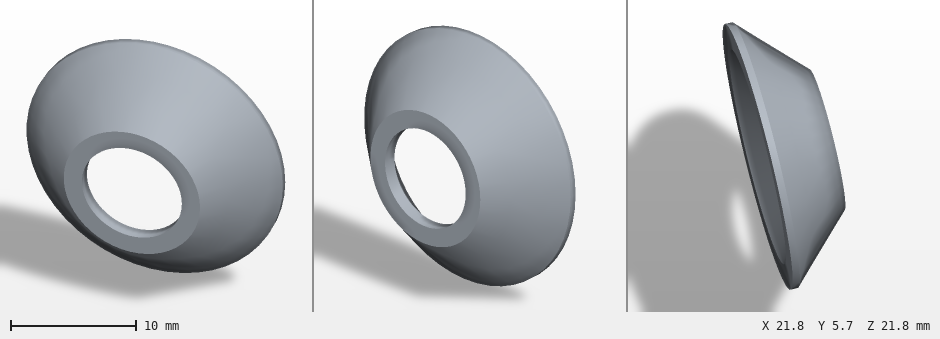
import cadquery as cq

outer_radius = 10.9
bore_radius = 4.25
height = 5.7
rim_thickness = 0.59
bore_length = 1.13
nose_radius = outer_radius - (height - rim_thickness)

back_y = height / 2
front_y = -height / 2

cavity_depth = height - bore_length
cavity_radius = bore_radius + cavity_depth

half_section = [
    (bore_radius, front_y),
    (nose_radius, front_y),
    (outer_radius, back_y - rim_thickness),
    (outer_radius, back_y),
    (cavity_radius, back_y),
    (bore_radius, front_y + bore_length),
]

result = (
    cq.Workplane("XY")
    .polyline(half_section)
    .close()
    .revolve(360, (0, 0, 0), (0, 1, 0))
)